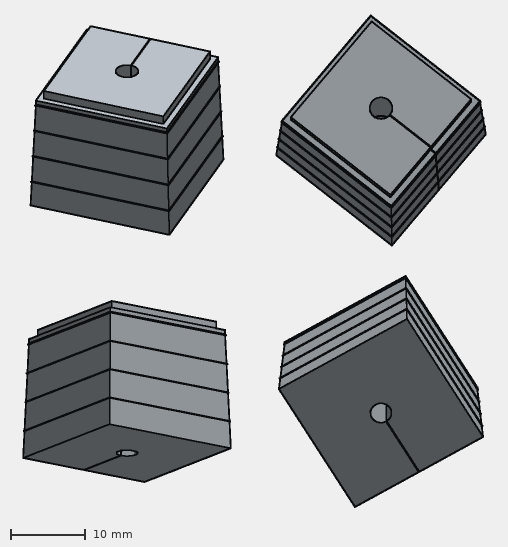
import cadquery as cq
import math

base_width = 19.9
taper_angle = 2.0
body_height = 15.72

collar_top = 16.48
total_height = 17.7
cap_width = 17.11

ridge_pitch = 4.0
ridge_count = 4
ridge_overhang = 0.08
ridge_height = 0.08
top_ridge_height = 0.15

upper_bore_diameter = 3.0
lower_bore_diameter = 2.8
upper_bore_depth = total_height / 2
slit_width = 0.1


def body_width(z):
    """Width of the tapered body at height z."""
    return base_width - 2 * z * math.tan(math.radians(taper_angle))


def square_frustum(z_bottom, z_top, bottom_width, top_width):
    return (
        cq.Workplane("XY", origin=(0, 0, z_bottom))
        .rect(bottom_width, bottom_width)
        .workplane(offset=z_top - z_bottom)
        .rect(top_width, top_width)
        .loft(ruled=True)
    )


def square_block(z_bottom, z_top, width):
    return cq.Workplane("XY", origin=(0, 0, z_bottom)).rect(width, width).extrude(z_top - z_bottom)


def ridge(z, height):
    """Ridge with its flat underside at height z, sloping back to the wall above."""
    wall_z = min(z + height, body_height)
    top_width = body_width(wall_z)
    bottom_width = body_width(z) + 2 * ridge_overhang
    return square_frustum(z, z + height, bottom_width, top_width)


def stepped_bore():
    """Through bore, slightly wider in its upper part."""
    lower = cq.Workplane("XY").circle(lower_bore_diameter / 2).extrude(total_height)
    upper = (
        cq.Workplane("XY", origin=(0, 0, total_height - upper_bore_depth))
        .circle(upper_bore_diameter / 2)
        .extrude(upper_bore_depth)
    )
    return lower.union(upper)


def slit():
    return cq.Workplane("XY").box(
        slit_width, base_width / 2, total_height, centered=(True, False, False)
    )


collar_width = body_width(body_height)

result = square_frustum(0, body_height, base_width, collar_width)
result = result.union(square_block(body_height, collar_top, collar_width))
result = result.union(square_block(collar_top, total_height, cap_width))

result = result.union(ridge(body_height, top_ridge_height))
for index in range(1, ridge_count):
    result = result.union(ridge(body_height - index * ridge_pitch, ridge_height))

result = result.cut(stepped_bore()).cut(slit())